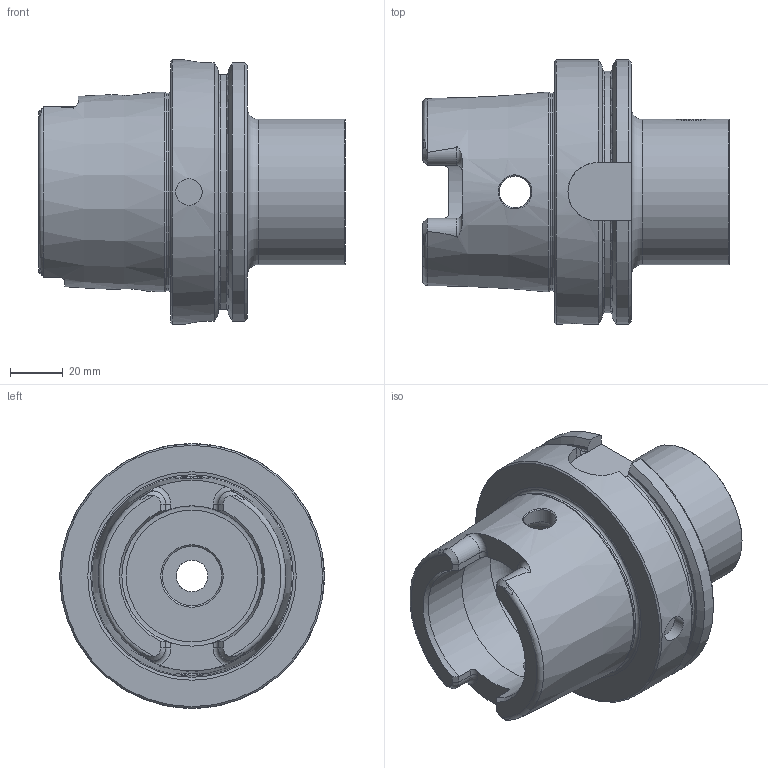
import cadquery as cq
import math

TAPER_LENGTH = 49.9
FLANGE_WIDTH = 29.0
TOTAL_LENGTH = 115.9
FRONT_X = -TAPER_LENGTH
END_X = FRONT_X + TOTAL_LENGTH

GAUGE_RADIUS = 36.9
GAUGE_X = -20.0
TAPER_SLOPE = 1 / 9.98 / 2
TAPER_EDGE_FILLET = 1.8

RELIEF_START_X = -2.4
RELIEF_FLOOR_X = -1.6
RELIEF_RADIUS = 37.3
RELIEF_CORNER = 1.0
RELIEF_FACE_DEPTH = 0.2
RELIEF_FACE_RADIUS = 39.4

FLANGE_RADIUS = 50.0
FLANGE_FRONT_CHAMFER = 0.6
FLANGE_BACK_CHAMFER = 1.0

GROOVE_X = 19.9
GROOVE_HALF_WIDTH = 3.4
GROOVE_FLANK_ANGLE = 30.0
GROOVE_FLANK_DEPTH = 2.7
GROOVE_FLOOR_RADIUS = 45.7
GROOVE_CORNER = 0.7

SHANK_RADIUS = 27.5
NECK_FILLET = 4.0
SHANK_END_CHAMFER = 0.25

MOUTH_RADIUS = 26.5
MOUTH_CHAMFER = 0.9
MOUTH_CHAMFER_LENGTH = 1.9
CAVITY_RADIUS = 31.5
CAVITY_LIP_X = -30.0
CAVITY_END_X = -10.0
CAVITY_FLOOR_RADIUS = 24.9
COOLANT_RADIUS = 11.2
COOLANT_CHAMFER = 0.6
COOLANT_DEPTH = 20.0
THROUGH_RADIUS = 6.0

SLOT_HALF_WIDTH = 10.0
SLOT_CORNER_RADIUS = 5.0
SLOT_CORNER_Z = 27.2
SLOT_FLOOR_FILLET = 2.0
SLOT_CHAMFER = 1.8
SLOT_FLOORS = {1: -35.0, -1: -40.0}
SLOT_INNER_Z = 15.0
SLOT_OUTER = 45.0

CROSS_HOLE_X = -15.0
CROSS_HOLE_RADIUS = 6.0
CROSS_HOLE_CHAMFER = 0.4

FLAT_HALF_WIDTH = 11.0
FLAT_START_X = 5.0
FLAT_Z = 44.0

CHIP_HOLE_X = 6.9
CHIP_HOLE_RADIUS = 5.0
CHIP_HOLE_DEPTH = 4.6

SCREW_X = 51.5
SCREW_RADIUS = 6.0


def taper_radius(x):
    return GAUGE_RADIUS + (x - GAUGE_X) * TAPER_SLOPE


def turned_body():
    flank = GROOVE_FLANK_DEPTH * math.tan(math.radians(GROOVE_FLANK_ANGLE))
    flank_foot = GROOVE_HALF_WIDTH - flank
    flank_radius = FLANGE_RADIUS - GROOVE_FLANK_DEPTH
    corner_radius = GROOVE_FLOOR_RADIUS + GROOVE_CORNER
    floor_half_width = flank_foot - GROOVE_CORNER
    neck_radius = SHANK_RADIUS + NECK_FILLET
    diagonal = NECK_FILLET * (1 - math.sqrt(0.5))
    profile = (
        cq.Workplane("XZ")
        .moveTo(FRONT_X, 0)
        .lineTo(FRONT_X, taper_radius(FRONT_X))
        .lineTo(RELIEF_START_X, taper_radius(RELIEF_START_X))
        .lineTo(RELIEF_FLOOR_X, RELIEF_RADIUS)
        .lineTo(RELIEF_FACE_DEPTH - RELIEF_CORNER, RELIEF_RADIUS)
        .radiusArc((RELIEF_FACE_DEPTH, RELIEF_RADIUS + RELIEF_CORNER), -RELIEF_CORNER)
        .lineTo(0, RELIEF_FACE_RADIUS)
        .lineTo(0, FLANGE_RADIUS - FLANGE_FRONT_CHAMFER)
        .lineTo(FLANGE_FRONT_CHAMFER, FLANGE_RADIUS)
        .lineTo(GROOVE_X - GROOVE_HALF_WIDTH, FLANGE_RADIUS)
        .lineTo(GROOVE_X - flank_foot, flank_radius)
        .lineTo(GROOVE_X - flank_foot, corner_radius)
        .radiusArc((GROOVE_X - floor_half_width, GROOVE_FLOOR_RADIUS), -GROOVE_CORNER)
        .lineTo(GROOVE_X + floor_half_width, GROOVE_FLOOR_RADIUS)
        .radiusArc((GROOVE_X + flank_foot, corner_radius), -GROOVE_CORNER)
        .lineTo(GROOVE_X + flank_foot, flank_radius)
        .lineTo(GROOVE_X + GROOVE_HALF_WIDTH, FLANGE_RADIUS)
        .lineTo(FLANGE_WIDTH - FLANGE_BACK_CHAMFER, FLANGE_RADIUS)
        .lineTo(FLANGE_WIDTH, FLANGE_RADIUS - FLANGE_BACK_CHAMFER)
        .lineTo(FLANGE_WIDTH, neck_radius)
        .threePointArc(
            (FLANGE_WIDTH + diagonal, SHANK_RADIUS + diagonal),
            (FLANGE_WIDTH + NECK_FILLET, SHANK_RADIUS),
        )
        .lineTo(END_X - SHANK_END_CHAMFER, SHANK_RADIUS)
        .lineTo(END_X, SHANK_RADIUS - SHANK_END_CHAMFER)
        .lineTo(END_X, 0)
        .close()
    )
    return profile.revolve(360, (0, 0, 0), (1, 0, 0))


def cavity():
    floor_fillet = CAVITY_RADIUS - CAVITY_FLOOR_RADIUS
    floor_x = CAVITY_END_X + floor_fillet
    coolant_floor_x = floor_x + COOLANT_DEPTH
    profile = (
        cq.Workplane("XZ")
        .moveTo(FRONT_X, 0)
        .lineTo(FRONT_X, MOUTH_RADIUS + MOUTH_CHAMFER)
        .lineTo(FRONT_X + MOUTH_CHAMFER_LENGTH, MOUTH_RADIUS)
        .lineTo(CAVITY_LIP_X, MOUTH_RADIUS)
        .lineTo(CAVITY_LIP_X, CAVITY_RADIUS)
        .lineTo(CAVITY_END_X, CAVITY_RADIUS)
        .radiusArc((floor_x, CAVITY_FLOOR_RADIUS), floor_fillet)
        .lineTo(floor_x, COOLANT_RADIUS + COOLANT_CHAMFER)
        .lineTo(floor_x + COOLANT_CHAMFER, COOLANT_RADIUS)
        .lineTo(coolant_floor_x, COOLANT_RADIUS)
        .lineTo(coolant_floor_x, THROUGH_RADIUS)
        .lineTo(END_X, THROUGH_RADIUS)
        .lineTo(END_X, 0)
        .close()
    )
    return profile.revolve(360, (0, 0, 0), (1, 0, 0))


def drive_slot_outline(x):
    """Straight-sided slot whose rounded corners run out along tangents beyond the taper."""
    corner_y = SLOT_HALF_WIDTH + SLOT_CORNER_RADIUS
    tilt = math.atan2(corner_y, SLOT_CORNER_Z)
    tangent_y = corner_y + SLOT_CORNER_RADIUS * math.sin(tilt)
    tangent_z = SLOT_CORNER_Z + SLOT_CORNER_RADIUS * math.cos(tilt)
    outer_z = tangent_z - (SLOT_OUTER - tangent_y) * math.tan(tilt)
    return (
        cq.Workplane("YZ", origin=(x, 0, 0))
        .moveTo(-SLOT_HALF_WIDTH, SLOT_INNER_Z)
        .lineTo(SLOT_HALF_WIDTH, SLOT_INNER_Z)
        .lineTo(SLOT_HALF_WIDTH, SLOT_CORNER_Z)
        .radiusArc((tangent_y, tangent_z), SLOT_CORNER_RADIUS)
        .lineTo(SLOT_OUTER, outer_z)
        .lineTo(SLOT_OUTER, SLOT_OUTER)
        .lineTo(-SLOT_OUTER, SLOT_OUTER)
        .lineTo(-SLOT_OUTER, outer_z)
        .lineTo(-tangent_y, tangent_z)
        .radiusArc((-SLOT_HALF_WIDTH, SLOT_CORNER_Z), SLOT_CORNER_RADIUS)
        .close()
    )


def drive_slot(side, floor_x):
    chamfer_x = FRONT_X + SLOT_CHAMFER
    slot = drive_slot_outline(floor_x).extrude(chamfer_x - floor_x)
    slot = slot.faces(">X").edges().fillet(SLOT_FLOOR_FILLET)
    flare = drive_slot_outline(chamfer_x).extrude(-SLOT_CHAMFER, taper=-45)
    slot = slot.union(flare)
    return slot.rotate((0, 0, 0), (1, 0, 0), 0 if side > 0 else 180)


def flange_flat(side):
    profile = (
        cq.Workplane("XY", origin=(0, 0, FLAT_Z))
        .moveTo(FLANGE_WIDTH, FLAT_HALF_WIDTH)
        .lineTo(FLAT_START_X + FLAT_HALF_WIDTH, FLAT_HALF_WIDTH)
        .threePointArc((FLAT_START_X, 0), (FLAT_START_X + FLAT_HALF_WIDTH, -FLAT_HALF_WIDTH))
        .lineTo(FLANGE_WIDTH, -FLAT_HALF_WIDTH)
        .close()
    )
    flat = profile.extrude(FLANGE_RADIUS - FLAT_Z)
    return flat.rotate((0, 0, 0), (1, 0, 0), 0 if side > 0 else 180)


def radial_y(x, radius, y_start, y_end):
    """Cylinder along Y from y_start to y_end."""
    return cq.Workplane("XZ", origin=(x, y_start, 0)).circle(radius).extrude(y_start - y_end)


def cut_cross_hole(body):
    cross_hole = (
        cq.Workplane("XY", origin=(CROSS_HOLE_X, 0, 0))
        .circle(CROSS_HOLE_RADIUS)
        .extrude(FLANGE_RADIUS, both=True)
    )
    body = body.cut(cross_hole)
    reach = CROSS_HOLE_RADIUS + 4
    rim_box = cq.selectors.BoxSelector(
        (CROSS_HOLE_X - reach, -reach, CAVITY_RADIUS + 1.5),
        (CROSS_HOLE_X + reach, reach, FLANGE_RADIUS - 10),
    )
    return body.edges(rim_box).edges("not %LINE").chamfer(CROSS_HOLE_CHAMFER)


def make_holder():
    body = turned_body().faces("<X").edges().fillet(TAPER_EDGE_FILLET)
    for side, floor_x in SLOT_FLOORS.items():
        body = body.cut(drive_slot(side, floor_x))
    body = body.cut(cavity())
    for side in (1, -1):
        body = body.cut(flange_flat(side))
    body = cut_cross_hole(body)
    chip_hole_floor_y = -FLANGE_RADIUS + CHIP_HOLE_DEPTH
    body = body.cut(radial_y(CHIP_HOLE_X, CHIP_HOLE_RADIUS, -FLANGE_RADIUS, chip_hole_floor_y))
    return body.cut(radial_y(SCREW_X, SCREW_RADIUS, SHANK_RADIUS, 0))


def make_set_screw():
    return radial_y(SCREW_X, SCREW_RADIUS, SHANK_RADIUS, THROUGH_RADIUS)


holder = make_holder()
set_screw = make_set_screw()
result = cq.Compound.makeCompound([holder.val(), set_screw.val()])